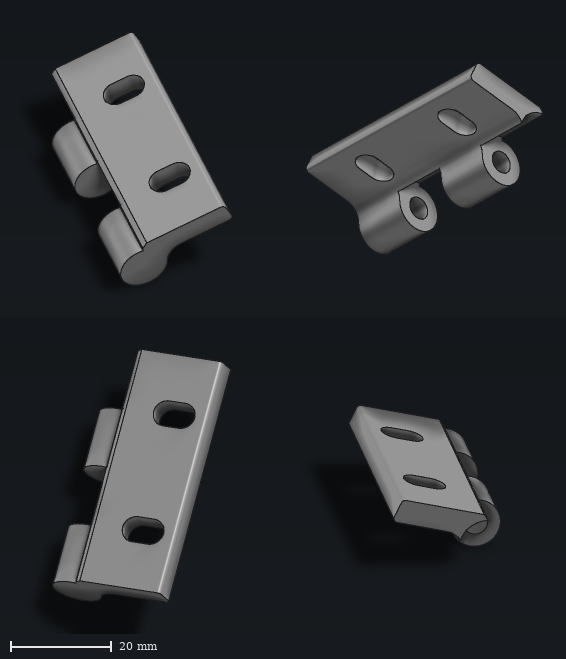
import cadquery as cq
import math

length = 50.0
knuckle_count = 2
pitch = length / knuckle_count
knuckle_length = pitch / 2
knuckle_radius = 5.0
clearance_radius = 5.7
web_fillet_radius = 4.0

bore_radius = 2.35
bore_depth = 10.0

plate_tilt = 15.0
plate_thickness = 4.95
plate_reach = 18.8
end_lean = 26.0
end_fillet_radius = 0.95

nose_y = -0.25
nose_lean = 32.0

slot_length = 8.65
slot_width = 5.35
slot_y = 10.35

tilt_sin = math.sin(math.radians(plate_tilt))
tilt_cos = math.cos(math.radians(plate_tilt))
tilt_tan = tilt_sin / tilt_cos
end_tan = math.tan(math.radians(end_lean))
end_cos = math.cos(math.radians(end_lean))
nose_tan = math.tan(math.radians(nose_lean))

hollow_center_y = knuckle_radius + web_fillet_radius
hollow_start = (hollow_center_y - web_fillet_radius * tilt_sin, web_fillet_radius * tilt_cos)


def underside_z(y):
    """Height of the plate underside at y."""
    return hollow_start[1] + (y - hollow_start[0]) * tilt_tan


def top_z(y):
    """Height of the plate top face at y."""
    return underside_z(y) + plate_thickness / tilt_cos


def leaf_body():
    """Tilted plate with the web down to the knuckle axis, extruded along the full length."""
    corner_y = plate_reach - end_fillet_radius
    corner_z = underside_z(corner_y) + end_fillet_radius / tilt_cos
    edge_y0 = corner_y + corner_z * end_tan + end_fillet_radius / end_cos
    end_bottom_y = (edge_y0 - underside_z(0) * end_tan) / (1 + tilt_tan * end_tan)
    end_top_y = (edge_y0 - top_z(0) * end_tan) / (1 + tilt_tan * end_tan)

    nose_z = math.sqrt(clearance_radius**2 - nose_y**2)
    bevel_y = (nose_y + (top_z(0) - nose_z) * nose_tan) / (1 - tilt_tan * nose_tan)
    half_sweep = math.radians((90 - plate_tilt) / 2)
    hollow_mid = (
        hollow_center_y - web_fillet_radius * math.cos(half_sweep),
        web_fillet_radius * math.sin(half_sweep),
    )
    outline = (
        cq.Workplane("YZ")
        .moveTo(nose_y, 0)
        .lineTo(nose_y, nose_z)
        .lineTo(bevel_y, top_z(bevel_y))
        .lineTo(end_top_y, top_z(end_top_y))
        .lineTo(end_bottom_y, underside_z(end_bottom_y))
        .lineTo(*hollow_start)
        .threePointArc(hollow_mid, (knuckle_radius, 0))
        .close()
    )
    leaf = outline.extrude(length)
    return leaf.edges("|X").edges(">Y or >Z").fillet(end_fillet_radius)


def rod(radius, start, rod_length):
    """Cylinder on the knuckle axis, from X = start."""
    return cq.Workplane("YZ", origin=(start, 0, 0)).circle(radius).extrude(rod_length)


def slot(x):
    """Obround through the plate, square to its top face, long side up the slope."""
    top = cq.Plane(
        origin=(x, slot_y, top_z(slot_y)),
        xDir=(0, tilt_cos, tilt_sin),
        normal=(0, -tilt_sin, tilt_cos),
    )
    return cq.Workplane(top).slot2D(slot_length, slot_width).extrude(-2 * plate_thickness)


result = leaf_body()
for i in range(knuckle_count):
    gap_start = i * pitch
    knuckle_start = gap_start + knuckle_length
    result = result.cut(rod(clearance_radius, gap_start, knuckle_length))
    result = result.union(rod(knuckle_radius, knuckle_start, knuckle_length))
    result = result.cut(rod(bore_radius, knuckle_start, bore_depth))
    result = result.cut(slot(gap_start + pitch / 2))